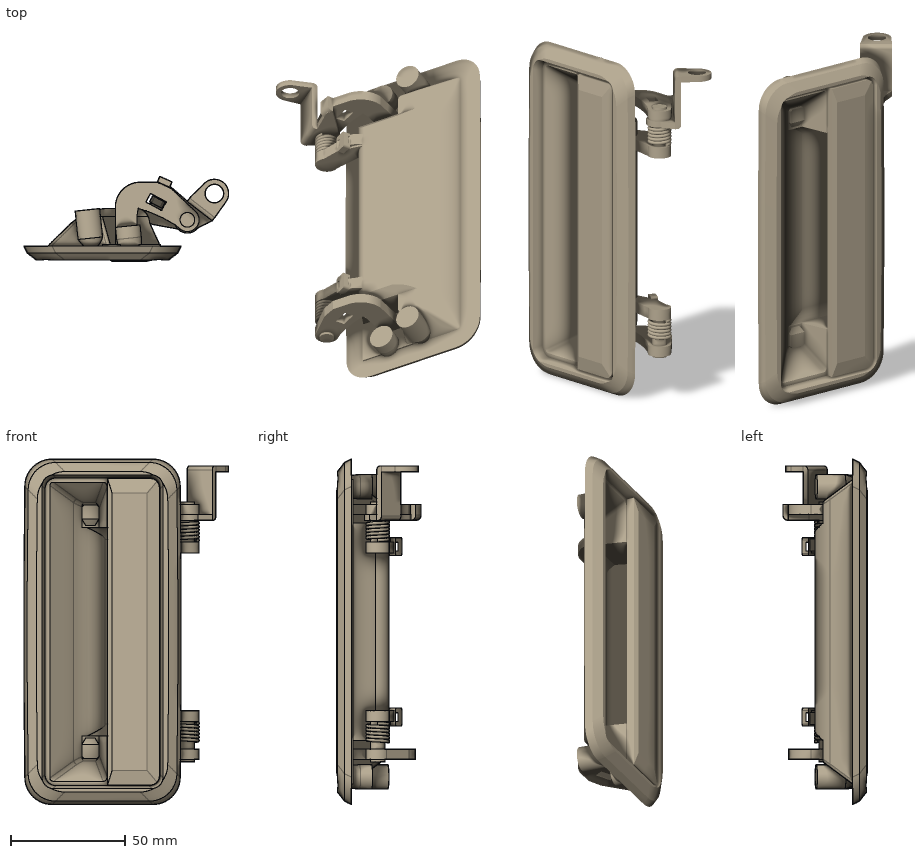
import cadquery as cq
import math


bezel_half_height = 75.5
bezel_half_width = 34.0
bezel_side_bulge = 0.45
bezel_front = -6.1
bezel_shoulder = -3.0
shoulder_inset = 1.5
bevel_inset = 5.5
bezel_radius = 12.0

recess_floor = -1.8
recess_half_width = 26.4
recess_half_height = 68.5
recess_draft = 1.3
recess_radius = 5.0

wall = 2.0
skirt = -8.0
pan_start = -0.5
well_depth = 16.5
pocket_depth = 13.0
well_half_height = 47.6
well_end_bevel = well_depth - pocket_depth
pan_left = -24.0
pan_right = 25.3
slope_end = (-14.0, 9.8)
left_slope = (slope_end[0] - pan_left) / slope_end[1]
right_corner = (20.5, 10.5)
left_curve_middle = (-6.8, 14.4)
right_curve_middle = (19.2, 14.2)
floor_left = 1.0
floor_right = 15.5
right_slope = (right_corner[0] - pan_right) / right_corner[1]
pocket_right = 3.6
pocket_right_slope = -0.28
pocket_half_height = 66.5
pocket_end_slope = -0.742
pad_thickness = 0.8
pocket_fillet = 2.0
well_end_fillet = 7.0

post_radius = 5.4
post_foot_length = 4.0
post_height_z = 63.4
post_tilt = 6.0
post_places = ((-4.9, 16.5, 4.0), (12.0, 9.3, 5.0))
block_x = (-9.0, -1.6)
block_z = (46.2, 55.4)
block_front = 9.3
block_edge = 0.8
block_shelf = 49.2
block_foot_inset = 1.8

hinge_x = 37.1
hinge_y = 11.5
pin_radius = 3.2
pin_bottom = 34.4
pin_top = 56.8
hub_radius = 5.1
lug_top = 39.3
lug_root = [(14.0, 16.0), (10.0, 15.5), (21.6, 9.5), (33.1, 7.4)]
lug_shoulder = (27.0, 18.6)
stub_outline = [(14.0, 15.5), (27.0, 15.5), (27.0, 16.6), (23.5, 18.7), (20.0, 18.7)]
stub_z = (35.3, 40.6)
bumper_z = (33.3, 41.2)
bumper_center = (24.0, 19.3)
bumper_size = (6.2, 3.1)
bumper_fillet = 1.0
bumper_angle = -28.0
bumper_slot_y = (19.3, 20.3)
bumper_slot_z = (35.4, 39.1)

grip_front = -6.6
grip_back = -2.1
grip_left = 2.2
grip_right = 24.8
grip_half_height = 66.9
grip_flat_left = 4.2
grip_flat_right = 19.5
grip_flat_half_height = 60.6
grip_edge = -5.4
grip_radius = 3.5
arm_z = (51.3, 55.7)
arm_left = 5.6
arm_right = 15.1
arm_embed = 1.0
arm_top = 28.0
arm_back = [(24.0, arm_top), (30.1, 25.1)]
arm_bend_start = 18.2
arm_bend_middle = (9.0, 25.0)
arm_bend_end = 15.9
arm_belly = (31.4, 9.5)
arm_belly_middle = (24.6, 13.2)
arm_throat = (15.6, 16.5)
arm_throat_foot = 13.5
slot_clearance = 0.5
window_center = (23.4, 19.3)
window_size = (7.7, 4.2)

wire_radius = 0.7
coil_radius = 4.5
coil_pitch = 1.5
spring_end = 48.6

sheet = 2.6
bracket_bottom = arm_z[0] - sheet
bracket_top = 72.5
bracket_radius = 5.8
bracket_angle = 52.3
wall_offset = 6.3
flange_center = (16.3, 2.3)
flange_radius = 6.27
upright_half_width = 6.95
upright_across = 1.9
flange_hole_radius = 4.0
bend_radius = 1.8
tab_center = (27.2, 28.13)
tab_width = 5.9
tab_bend_radius = 2.4
tab_angle = -24.0
base_outer = [(24.3, 28.2), tab_center, (30.2, 25.6), (37.2, 19.6)]
base_inner = [(hinge_x, hinge_y), (32.1, 8.6), (28.0, 19.0)]


def both_ends(shape):
    """The shape together with its mirror image below Z = 0."""
    return shape.union(shape.mirror("XY"))


def prism(points, z_range):
    """Polygon in XY, extruded between two heights."""
    return (cq.Workplane("XY", origin=(0, 0, z_range[0]))
            .polyline(points).close().extrude(z_range[1] - z_range[0]))


def box(x_range, y_range, z_range):
    return (cq.Workplane("XY")
            .box(x_range[1] - x_range[0], y_range[1] - y_range[0], z_range[1] - z_range[0], centered=False)
            .translate((x_range[0], y_range[0], z_range[0])))


def disc(radius, z_range):
    """Cylinder about the hinge axis."""
    return (cq.Workplane("XY", origin=(hinge_x, hinge_y, z_range[0]))
            .circle(radius).extrude(z_range[1] - z_range[0]))


def bezel_outline(y, inset, radius):
    """Rounded rectangle in XZ whose long sides bow outwards."""
    w = bezel_half_width - inset
    h = bezel_half_height - inset
    straight_w = w - radius
    straight_h = h - radius
    diagonal = radius * math.sqrt(0.5)
    mid_w = straight_w + diagonal
    mid_h = straight_h + diagonal
    bow = w + bezel_side_bulge
    wire = (cq.Workplane("XZ", origin=(0, y, 0))
            .moveTo(-straight_w, h)
            .lineTo(straight_w, h)
            .threePointArc((mid_w, mid_h), (w, straight_h))
            .threePointArc((bow, 0), (w, -straight_h))
            .threePointArc((mid_w, -mid_h), (straight_w, -h))
            .lineTo(-straight_w, -h)
            .threePointArc((-mid_w, -mid_h), (-w, -straight_h))
            .threePointArc((-bow, 0), (-w, straight_h))
            .threePointArc((-mid_w, mid_h), (-straight_w, h))
            .close())
    return wire.val()


def make_bezel():
    back = bezel_outline(0, 0, bezel_radius)
    shoulder = bezel_outline(bezel_shoulder, shoulder_inset, bezel_radius)
    front = bezel_outline(bezel_front, bevel_inset, bezel_radius)
    return cq.Workplane(cq.Solid.makeLoft([back, shoulder, front], True))


def make_recess():
    """Drafted opening from the bezel front down to the recess floor."""
    depth = recess_floor - bezel_front
    return (cq.Workplane("XZ", origin=(0, bezel_front, 0))
            .rect(2 * recess_half_width, 2 * recess_half_height)
            .extrude(-depth, taper=math.degrees(math.atan(recess_draft / depth)))
            .edges("not(#Y)").edges("not(|X or |Z)").fillet(recess_radius))


def well_section():
    """Cross section of the finger well in XY."""
    return (cq.Workplane("XY")
            .moveTo(pan_left + left_slope * skirt, skirt)
            .lineTo(*slope_end)
            .threePointArc(left_curve_middle, (floor_left, well_depth))
            .lineTo(floor_right, well_depth)
            .threePointArc(right_curve_middle, right_corner)
            .lineTo(pan_right + right_slope * skirt, skirt)
            .close())


def pocket_limit():
    """XY outline that keeps the end pockets shallower and narrower than the well."""
    left = pan_left + left_slope * skirt - wall
    bottom = skirt - wall
    return (cq.Workplane("XY")
            .polyline([
                (left, bottom),
                (left, pocket_depth),
                (pocket_right + pocket_right_slope * pocket_depth, pocket_depth),
                (pocket_right + pocket_right_slope * bottom, bottom),
            ]).close())


def well_side():
    """Side profile of the well in YZ."""
    bevelled = well_half_height - well_end_bevel
    return (cq.Workplane("YZ", origin=(-2 * bezel_half_width, 0, 0))
            .polyline([
                (skirt, -well_half_height), (pocket_depth, -well_half_height), (well_depth, -bevelled),
                (well_depth, bevelled), (pocket_depth, well_half_height), (skirt, well_half_height),
            ]).close())


def pocket_side():
    """Side profile of the end pockets in YZ."""
    low = pocket_half_height + pocket_end_slope * skirt
    high = pocket_half_height + pocket_end_slope * pocket_depth
    return (cq.Workplane("YZ", origin=(-2 * bezel_half_width, 0, 0))
            .polyline([(skirt, -low), (pocket_depth, -high), (pocket_depth, high), (skirt, low)]).close())


def pan_shape(inset, start):
    """Well plus end pockets, shrunk by inset and trimmed to y > start."""
    reach = 2 * bezel_half_height

    def lengthwise(section):
        shrunk = section.offset2D(-inset) if inset else section
        return shrunk.extrude(reach, both=True)

    def crosswise(side):
        shrunk = side.offset2D(-inset) if inset else side
        return shrunk.extrude(4 * bezel_half_width)

    well_ends = crosswise(well_side())
    if inset:
        well_ends = well_ends.edges("|X and >Y").fillet(well_end_fillet)
    well = lengthwise(well_section()).intersect(well_ends)
    pocket = lengthwise(well_section()).intersect(lengthwise(pocket_limit()))
    pocket = pocket.intersect(crosswise(pocket_side()))
    pocket = pocket.edges("not(<Y or |Z)").fillet(pocket_fillet)
    shape = well.union(pocket)
    return shape.intersect(box((-reach, reach), (start, reach), (-reach, reach)))


def make_posts():
    """Tilted round mounting posts on the back, near both ends."""
    posts = cq.Workplane("XY")
    for x, length, foot_radius in post_places:
        axis = cq.Vector(-math.sin(math.radians(post_tilt)), math.cos(math.radians(post_tilt)), 0)
        foot = cq.Vector(x, pan_start, post_height_z)
        shoulder = foot + axis * post_foot_length
        cone = cq.Solid.makeCone(foot_radius, post_radius, post_foot_length, foot, axis)
        shaft = cq.Solid.makeCylinder(post_radius, length - post_foot_length, shoulder, axis)
        posts = posts.union(cq.Workplane(cone)).union(cq.Workplane(shaft))
    return both_ends(posts)


def make_lugs():
    """Hinge lugs, each with a stop stub and a slotted bumper."""
    hub_flank = hub_radius * math.sqrt(0.5)
    outline = [*lug_root, (hinge_x, hinge_y - hub_radius), (hinge_x + hub_flank, hinge_y + hub_flank),
               lug_shoulder]
    lug_z = (pin_bottom, lug_top)
    lug = prism(outline, lug_z).union(disc(hub_radius, lug_z))
    stub = prism(stub_outline, stub_z)
    bumper_height = bumper_z[1] - bumper_z[0]
    bumper = (cq.Workplane("XY").box(bumper_size[0], bumper_size[1], bumper_height)
              .edges("|Y").fillet(bumper_fillet)
              .rotate((0, 0, 0), (0, 0, 1), bumper_angle)
              .translate((bumper_center[0], bumper_center[1], (bumper_z[0] + bumper_z[1]) / 2)))
    reach = bumper_size[0]
    slot = box((bumper_center[0] - reach, bumper_center[0] + reach), bumper_slot_y, bumper_slot_z)
    return both_ends(lug.union(stub).union(bumper).cut(slot))


def make_blocks():
    """Bevelled blocks standing on the pocket floors."""
    left, right = block_x
    foot_z, top_z = block_z
    root = pocket_depth - wall / 2
    outline = (cq.Workplane("XZ", origin=(0, block_front, 0))
               .polyline([
                   (left, block_shelf), (left, top_z - block_edge), (left + block_edge, top_z),
                   (right - block_edge, top_z), (right, top_z - block_edge), (right, block_shelf),
                   (right - block_foot_inset, foot_z), (left + block_foot_inset, foot_z),
               ]).close().extrude(block_front - root))
    side = (cq.Workplane("YZ", origin=(left, 0, 0))
            .polyline([(block_front, block_shelf), (block_front, top_z), (root, top_z),
                       (root, foot_z), (root - block_edge, foot_z)])
            .close().extrude(right - left))
    return both_ends(outline.intersect(side))


def make_housing():
    pad = box((0, pan_right), (pan_start, pad_thickness), (-pocket_half_height, pocket_half_height))
    body = make_bezel().union(pad).union(pan_shape(0, pan_start)).union(make_posts()).union(make_lugs())
    body = body.cut(make_recess()).cut(pan_shape(wall, recess_floor)).union(make_blocks())
    slot = box((arm_left - slot_clearance, arm_right + slot_clearance),
               (recess_floor - 1, pad_thickness + 1),
               (arm_z[0] - slot_clearance, arm_z[1] + slot_clearance))
    pin_hole = disc(pin_radius, (pin_bottom, lug_top))
    return body.cut(both_ends(slot)).cut(both_ends(pin_hole))


def make_grip():
    section = (cq.Workplane("XY").polyline([
        (grip_flat_left, grip_front), (grip_flat_right, grip_front), (grip_right, grip_edge),
        (grip_right, grip_back), (grip_left, grip_back), (grip_left, grip_edge),
    ]).close().extrude(grip_half_height, both=True))
    side = (cq.Workplane("YZ").polyline([
        (grip_front, -grip_flat_half_height), (grip_front, grip_flat_half_height),
        (grip_edge, grip_half_height), (grip_back, grip_half_height),
        (grip_back, -grip_half_height), (grip_edge, -grip_half_height),
    ]).close().extrude(2 * grip_right))
    face = box((grip_left, grip_right), (grip_front, grip_back), (-grip_half_height, grip_half_height))
    face = face.edges("|Y and >X").fillet(grip_radius)
    return section.intersect(side).intersect(face)


def make_arm():
    """Hooked arm from the grip to the hinge."""
    height = arm_z[1] - arm_z[0]
    hub_flank = hub_radius * math.sqrt(0.5)
    root = grip_back - arm_embed
    hook = (cq.Workplane("XY", origin=(0, 0, arm_z[0]))
            .moveTo(arm_left, root)
            .lineTo(arm_left, arm_bend_start)
            .threePointArc(arm_bend_middle, (arm_bend_end, arm_top))
            .lineTo(*arm_back[0])
            .lineTo(*arm_back[1])
            .lineTo(hinge_x + hub_flank, hinge_y + hub_flank)
            .lineTo(hinge_x - hub_flank, hinge_y - hub_flank)
            .lineTo(*arm_belly)
            .threePointArc(arm_belly_middle, arm_throat)
            .lineTo(arm_right, arm_throat_foot)
            .lineTo(arm_right, root)
            .close().extrude(height))
    window = (cq.Workplane("XY").box(window_size[0], window_size[1], 4 * height)
              .rotate((0, 0, 0), (0, 0, 1), bumper_angle)
              .translate((window_center[0], window_center[1], arm_z[0])))
    return hook.union(disc(hub_radius, arm_z)).cut(window).cut(disc(pin_radius, arm_z))


def make_handle():
    return make_grip().union(both_ends(make_arm()))


def make_bracket():
    base_z = (bracket_bottom, arm_z[0])
    near_side = upright_across - upright_half_width
    far_side = upright_across + upright_half_width

    upright = (cq.Workplane("XZ", origin=(0, near_side, 0))
               .polyline([
                   (wall_offset, bracket_bottom), (wall_offset + sheet, bracket_bottom),
                   (wall_offset + sheet, bracket_top), (wall_offset, bracket_top),
               ]).close().extrude(-2 * upright_half_width))
    upright = upright.edges("|Y and <X and >Z").fillet(bend_radius)
    upright = upright.edges("|Y and >X and <Z").fillet(bend_radius)
    flange = prism([(wall_offset + sheet, near_side), (flange_center[0], flange_center[1] - flange_radius),
                    (flange_center[0], flange_center[1] + flange_radius), (wall_offset + sheet, far_side)],
                   (bracket_top - sheet, bracket_top))
    foot = prism([(0, -bracket_radius), (wall_offset, near_side), (wall_offset, far_side),
                  (0, bracket_radius)], base_z)
    eye = (cq.Workplane("XY", origin=(*flange_center, bracket_top - sheet))
           .circle(flange_radius).extrude(sheet))
    hole = (cq.Workplane("XY", origin=(*flange_center, bracket_top - sheet))
            .circle(flange_hole_radius).extrude(sheet))
    folded = (upright.union(foot).union(flange).union(eye).cut(hole).mirror("XZ")
              .rotate((0, 0, 0), (0, 0, 1), bracket_angle)
              .translate((hinge_x, hinge_y, 0)))

    tab = (cq.Workplane("XY", origin=(0, 0, bracket_bottom))
           .rect(tab_width, sheet).extrude(arm_z[1] - bracket_bottom)
           .faces("<Z").edges(">Y").fillet(tab_bend_radius)
           .rotate((0, 0, 0), (0, 0, 1), tab_angle)
           .translate((*tab_center, 0)))
    base = prism(base_outer + base_inner, base_z)
    bracket = folded.union(base).union(disc(bracket_radius, base_z)).union(tab)
    return bracket.cut(disc(pin_radius, base_z))


def make_pin():
    return disc(pin_radius, (pin_bottom, pin_top))


def make_spring():
    start = lug_top + wire_radius
    length = spring_end - wire_radius - start
    path = cq.Wire.makeHelix(coil_pitch, length, coil_radius)
    coil = (cq.Workplane("XZ", origin=(coil_radius, 0, 0)).circle(wire_radius)
            .sweep(cq.Workplane(path), isFrenet=True))
    return coil.translate((hinge_x, hinge_y, start))


housing = make_housing()
handle = make_handle()
bracket = make_bracket()
pins = []
springs = []
for lower in (False, True):
    pin = make_pin()
    spring = make_spring()
    pins.append((pin.mirror("XY") if lower else pin).val())
    springs.append((spring.mirror("XY") if lower else spring).val())

result = cq.Compound.makeCompound([housing.val(), handle.val(), bracket.val(), *pins, *springs])